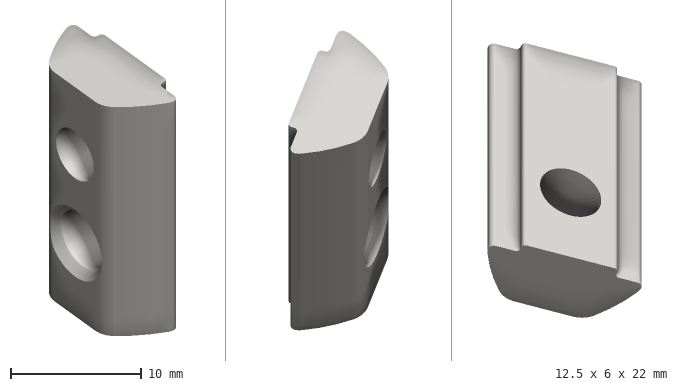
import cadquery as cq
import math

length = 22.0
half_width = 6.25
depth = 6.0
front_y = -depth / 2
back_y = depth / 2

rail_half_width = 3.9
rail_height = 0.85
rail_edge_radius = 0.3
rail_root_radius = 0.35
shoulder_y = back_y - rail_height

wing_radius = 0.46
flank_start_x = 6.14
flank_start_y = front_y + 4.2
flank_end_x = 3.9
flank_end_y = front_y + 0.68
front_flat_half_width = 2.4

bore_z = 7.0
bore_diameter = 5.0
countersink_diameter = 6.4
countersink_angle = 90.0

blind_z = 15.5
blind_diameter = 4.5
blind_wall_depth = 4.18
blind_flat_diameter = 0.53
blind_tip_angle = 160.0


def cone_height(large_diameter, small_diameter, included_angle):
    """Axial height of a cone frustum between two diameters."""
    return (large_diameter - small_diameter) / 2 / math.tan(math.radians(included_angle / 2))


def make_body():
    """Extrude half of the symmetric section and mirror it."""
    half = (
        cq.Workplane("XY")
        .moveTo(0, front_y)
        .lineTo(front_flat_half_width, front_y)
        .tangentArcPoint((flank_end_x, flank_end_y), relative=False)
        .tangentArcPoint((flank_start_x, flank_start_y), relative=False)
        .tangentArcPoint((half_width, shoulder_y - wing_radius), relative=False)
        .radiusArc((half_width - wing_radius, shoulder_y), -wing_radius)
        .lineTo(rail_half_width + rail_root_radius, shoulder_y)
        .radiusArc((rail_half_width, shoulder_y + rail_root_radius), rail_root_radius)
        .lineTo(rail_half_width, back_y - rail_edge_radius)
        .radiusArc((rail_half_width - rail_edge_radius, back_y), -rail_edge_radius)
        .lineTo(0, back_y)
        .close()
        .extrude(length)
    )
    return half.union(half.mirror("YZ")).clean()


def revolve_cutter(profile, z):
    """Revolve (radius, y) points about the Y-directed hole axis at height z."""
    cutter = cq.Workplane("XY").polyline(profile).close().revolve(360, (0, 0), (0, 1))
    return cutter.translate((0, 0, z))


def make_bore():
    radius = bore_diameter / 2
    sink_radius = countersink_diameter / 2
    sink_end_y = front_y + cone_height(countersink_diameter, bore_diameter, countersink_angle)
    profile = [(0, front_y), (sink_radius, front_y), (radius, sink_end_y), (radius, back_y), (0, back_y)]
    return revolve_cutter(profile, bore_z)


def make_blind_hole():
    radius = blind_diameter / 2
    wall_end_y = front_y + blind_wall_depth
    floor_y = wall_end_y + cone_height(blind_diameter, blind_flat_diameter, blind_tip_angle)
    profile = [
        (0, front_y),
        (radius, front_y),
        (radius, wall_end_y),
        (blind_flat_diameter / 2, floor_y),
        (0, floor_y),
    ]
    return revolve_cutter(profile, blind_z)


result = make_body().cut(make_bore()).cut(make_blind_hole())